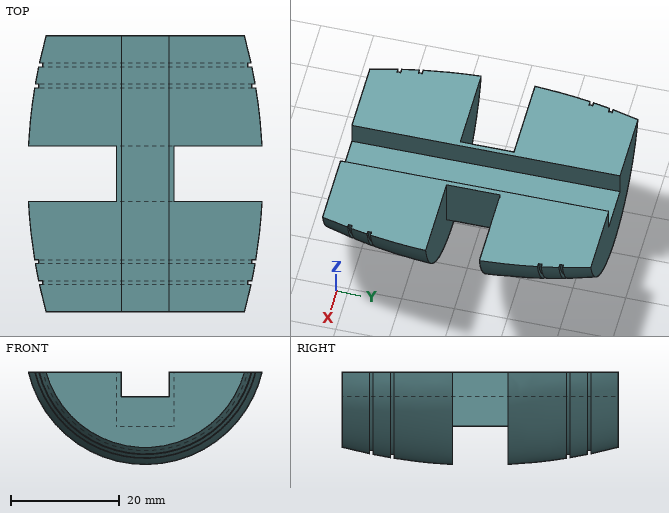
import cadquery as cq
import math

length = 50.8
crown_radius = 100.0
waist_radius = 22.1
axis_height = 5.1

waist_length = 10.15
web_width = 10.6
web_depth = 10.0

channel_width = 8.75
channel_depth = 4.5

groove_positions = (16.15, 20.0)
groove_width = 0.65
groove_depth = 0.65


def crown_drop(y):
    """Fall of the crowned profile at distance y from the middle."""
    return crown_radius - math.sqrt(crown_radius**2 - y**2)


middle_radius = waist_radius + crown_drop(waist_length / 2)


def barrel_radius(y):
    return middle_radius - crown_drop(y)


def revolve_about_barrel_axis(profile):
    """Revolve an XY profile about Y, then lift it to the barrel axis."""
    return profile.revolve(360, (0, 0, 0), (0, 1, 0)).translate((0, 0, axis_height))


def make_barrel():
    half_length = length / 2
    end_radius = barrel_radius(half_length)
    profile = (
        cq.Workplane("XY")
        .moveTo(0, -half_length)
        .lineTo(end_radius, -half_length)
        .threePointArc((middle_radius, 0), (end_radius, half_length))
        .lineTo(0, half_length)
        .close()
    )
    return revolve_about_barrel_axis(profile)


def make_groove_cutter(y):
    floor_radius = barrel_radius(y) - groove_depth
    ring_width = middle_radius - floor_radius
    ring_centre = (floor_radius + middle_radius) / 2
    profile = cq.Workplane("XY").pushPoints([(ring_centre, y)]).rect(ring_width, groove_width)
    return revolve_about_barrel_axis(profile)


def block_below_top(width, span, depth):
    """Block centred in X and Y that hangs down from the flat top face."""
    return cq.Workplane("XY").rect(width, span).extrude(-depth)


body = make_barrel()
for position in groove_positions:
    for side in (-1, 1):
        body = body.cut(make_groove_cutter(side * position))

full_width = 2 * middle_radius
body = body.intersect(block_below_top(full_width, length, middle_radius))

waist_cutter = block_below_top(full_width, waist_length, middle_radius).cut(
    block_below_top(web_width, waist_length, web_depth)
)
body = body.cut(waist_cutter)

result = body.cut(block_below_top(channel_width, length, channel_depth))